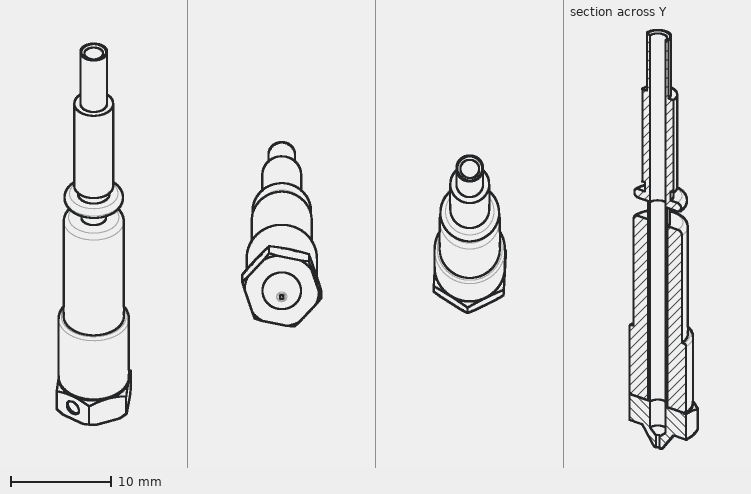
import cadquery as cq
import math

hex_bottom = 2.05
hex_top = 5.05
shoulder_z = 13.0
barrel_top = 25.75
flange_bottom = 27.8
flange_top = 28.8
sleeve_bottom = 29.8
sleeve_top = 40.35
total_height = 47.0

bore_diameter = 1.9
orifice_diameter = 0.4
funnel_bottom = 1.4
mouth_diameter = 2.5
mouth_depth = 0.2

stem_diameter = 2.7
sleeve_diameter = 3.9
neck_diameter = 3.2
flange_diameter = 5.88
flange_rim_radius = (flange_top - flange_bottom) / 2

throat_diameter = 2.5

barrel_diameter = 6.0
barrel_end_flat_diameter = 5.05
barrel_edge_radius = (barrel_diameter - barrel_end_flat_diameter) / 2
shoulder_diameter = 7.05
shoulder_edge_radius = 0.3

hex_across_corners = 8.1
hex_across_flats = hex_across_corners * math.cos(math.radians(30))
hex_top_chamfer_diameter = hex_across_flats
hex_bottom_chamfer_diameter = 7.43
hex_chamfer_height = 0.35
cone_base_diameter = 3.85
tip_diameter = 0.95
tip_edge_radius = 0.15
pocket_diameter = 1.5
pocket_depth = 0.2
drill_point_angle = 118.0
pocket_face_angle = -60.0


def cylinder(diameter, bottom, top):
    return cq.Workplane("XY").workplane(offset=bottom).circle(diameter / 2).extrude(top - bottom)


def cone(bottom_diameter, top_diameter, bottom, top):
    height = top - bottom
    solid = cq.Solid.makeCone(bottom_diameter / 2, top_diameter / 2, height, cq.Vector(0, 0, bottom))
    return cq.Workplane(obj=solid)


def make_cold_end():
    """Stepped filament tube with a fully rounded flange at its lower end."""
    flat_radius = flange_diameter / 2 - flange_rim_radius
    flange = (
        cq.Workplane("XZ")
        .moveTo(0, flange_bottom)
        .lineTo(flat_radius, flange_bottom)
        .radiusArc((flange_diameter / 2, flange_bottom + flange_rim_radius), -flange_rim_radius)
        .radiusArc((flat_radius, flange_top), -flange_rim_radius)
        .lineTo(0, flange_top)
        .close()
        .revolve(360, (0, 0), (0, 1))
    )
    body = flange.union(cylinder(neck_diameter, flange_top, sleeve_bottom))
    body = body.union(cylinder(sleeve_diameter, sleeve_bottom, sleeve_top))
    body = body.union(cylinder(stem_diameter, sleeve_top, total_height))
    body = body.cut(cylinder(bore_diameter, flange_bottom, total_height))
    return body.cut(cone(bore_diameter, mouth_diameter, total_height - mouth_depth, total_height))


def make_throat():
    """Thin tube that runs from the flange through the heater block to the nozzle."""
    return cylinder(throat_diameter, hex_top, flange_bottom).cut(
        cylinder(bore_diameter, hex_top, flange_bottom)
    )


def make_heater_block():
    """Barrel on a wider shoulder, bored to hold the throat."""
    barrel = cylinder(barrel_diameter, shoulder_z, barrel_top)
    barrel = barrel.faces(">Z").edges().fillet(barrel_edge_radius)
    shoulder = cylinder(shoulder_diameter, hex_top, shoulder_z).edges("%CIRCLE").fillet(shoulder_edge_radius)
    return shoulder.union(barrel).cut(cylinder(throat_diameter, hex_top, barrel_top))


def make_hex():
    """Hexagon with corners on Y, its corners turned down at both ends."""
    prism = (
        cq.Workplane("XY")
        .workplane(offset=hex_bottom)
        .transformed(rotate=(0, 0, 90))
        .polygon(6, hex_across_corners)
        .extrude(hex_top - hex_bottom)
    )
    lower_edge = hex_bottom + hex_chamfer_height
    upper_edge = hex_top - hex_chamfer_height
    envelope = cylinder(hex_across_corners, lower_edge, upper_edge)
    envelope = envelope.union(cone(hex_bottom_chamfer_diameter, hex_across_corners, hex_bottom, lower_edge))
    envelope = envelope.union(cone(hex_across_corners, hex_top_chamfer_diameter, upper_edge, hex_top))
    return prism.intersect(envelope)


def make_pocket():
    """Shallow drilled pocket, with its pointed end, in the middle of one hexagon face."""
    radius = pocket_diameter / 2
    point_depth = radius / math.tan(math.radians(drill_point_angle / 2))
    face = hex_across_flats / 2
    profile = [
        (face, 0),
        (face, radius),
        (face - pocket_depth, radius),
        (face - pocket_depth - point_depth, 0),
    ]
    drill = cq.Workplane("XY").polyline(profile).close().revolve(360, (0, 0), (1, 0))
    drill = drill.rotate((0, 0, 0), (0, 0, 1), pocket_face_angle)
    return drill.translate((0, 0, (hex_bottom + hex_top) / 2))


def make_nozzle():
    """Hexagonal nozzle with a conical tip and a funnel down to the orifice."""
    tip = cone(tip_diameter, cone_base_diameter, 0, hex_bottom)
    tip = tip.faces("<Z").edges().fillet(tip_edge_radius)
    body = make_hex().union(tip).cut(make_pocket())
    body = body.cut(cylinder(bore_diameter, hex_bottom, hex_top))
    body = body.cut(cone(orifice_diameter, bore_diameter, funnel_bottom, hex_bottom))
    return body.cut(cylinder(orifice_diameter, 0, funnel_bottom))


cold_end = make_cold_end()
throat = make_throat()
heater_block = make_heater_block()
nozzle = make_nozzle()

result = cq.Compound.makeCompound([cold_end.val(), throat.val(), heater_block.val(), nozzle.val()])